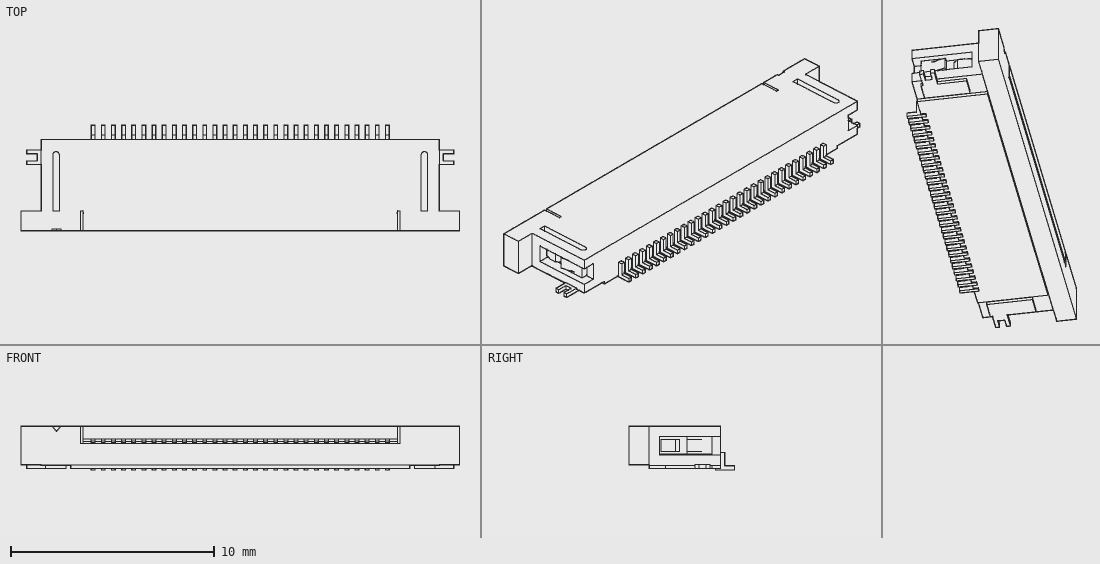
import cadquery as cq


SLIDER_HALF_LENGTH = 10.8
SLIDER_DEPTH = 1.0
SLIDER_BOTTOM = 0.25
TOP = 2.15

HOUSING_HALF_LENGTH = 9.8
HOUSING_BACK = 4.51
HOUSING_BOTTOM = 0.22
BASE_HALF_LENGTH = 8.35
BASE_BOTTOM = 0.06

PAD_OUTER = 9.6
PAD_INNER = 8.58
PAD_FRONT = 1.81
PAD_BACK = 4.1

ENTRY_HALF_LENGTH = 7.86
ENTRY_BOTTOM = 1.32
COVER_CLEARANCE = 0.13
COVER_BOTTOM = 1.53
CABLE_SLOT_TOP = 1.4
RAMP_START = 0.86
RAMP_END = 0.9
CABLE_SLOT_BACK = 2.6

SPRING_TIP = 0.78
SPRING_KNEE = 0.85
SPRING_KNEE_BOTTOM = 1.43
SPRING_CREST = 0.95
SPRING_BACK = 1.73
SPRING_CREST_BOTTOM = 1.35

MARK_X = -9.05
MARK_HALF_WIDTH = 0.22
MARK_HEIGHT = 0.25
MARK_DEPTH = 0.09

SLOT_X = 9.07
SLOT_WIDTH = 0.32
SLOT_BACK = 3.9
SLOT_DEPTH = 0.52

CHANNEL_FRONT = 1.51
CHANNEL_BOTTOM = 0.73
CHANNEL_TOP = 1.65
CHANNEL_DEPTH = 0.28
CHANNEL_BACK_STEP = 4.1
CHANNEL_BACK_DEPTH = 0.65
CHANNEL_FRONT_DEPTH = 0.5
UNDERCUT_TOP = 0.8

LATCH_BOTTOM = 0.9
LATCH_TOP = 1.51
LATCH_HEIGHT = 0.2
WEDGE_FRONT = 2.87
WEDGE_BACK = 3.59
STOP_FRONT = 1.58
STOP_CREST_FRONT = 1.92
STOP_CREST_BACK = 2.3
STOP_BACK = 2.48
STOP_FRONT_HEIGHT = 0.09

CONTACT_COUNT = 30
CONTACT_ROW_LENGTH = 14.5
CONTACT_PITCH = CONTACT_ROW_LENGTH / (CONTACT_COUNT - 1)
CONTACT_WIDTH = 0.2
CONTACT_TIP = 5.2
CONTACT_HEEL = 4.25
CONTACT_STEM_BACK = 4.73
CONTACT_FOOT_TOP = 0.22
CONTACT_STEM_TOP = 0.86

TAB_OUTER = 10.52
TAB_INNER = 9.29
TAB_FRONT = 3.26
TAB_BACK = 4.0
TAB_TOP = 0.28
TAB_NOTCH_BOTTOM = 10.0
TAB_PRONG = 0.2


def box(x_range, y_range, z_range):
    (x0, x1), (y0, y1), (z0, z1) = x_range, y_range, z_range
    return cq.Workplane("XY").box(x1 - x0, y1 - y0, z1 - z0, centered=False).translate((x0, y0, z0))


def centred_box(half_length, y_range, z_range):
    return box((-half_length, half_length), y_range, z_range)


def side_profile(points, x, width):
    """Prism centred at x with its outline given as (Y, Z) points."""
    return cq.Workplane("YZ", origin=(x, 0, 0)).polyline(points).close().extrude(width / 2, both=True)


def both_ends(left_shape):
    return left_shape.union(left_shape.mirror("YZ"))


def body():
    slider = centred_box(SLIDER_HALF_LENGTH, (0, SLIDER_DEPTH), (SLIDER_BOTTOM, TOP))
    housing = centred_box(HOUSING_HALF_LENGTH, (SLIDER_DEPTH, HOUSING_BACK), (HOUSING_BOTTOM, TOP))
    base = centred_box(BASE_HALF_LENGTH, (SLIDER_DEPTH, HOUSING_BACK), (BASE_BOTTOM, TOP))
    pad = box((-PAD_OUTER, -PAD_INNER), (PAD_FRONT, PAD_BACK), (BASE_BOTTOM, CHANNEL_BOTTOM))
    return slider.union(housing).union(base).union(both_ends(pad))


def cable_entry():
    """U-shaped gap around the cover, and the cable slot running back beneath it."""
    cover_half_length = ENTRY_HALF_LENGTH - COVER_CLEARANCE
    opening = centred_box(ENTRY_HALF_LENGTH, (0, SLIDER_DEPTH), (ENTRY_BOTTOM, TOP))
    cover = centred_box(cover_half_length, (0, SLIDER_DEPTH), (ENTRY_BOTTOM, TOP))
    cable_slot = [
        (0, ENTRY_BOTTOM),
        (0, COVER_BOTTOM),
        (RAMP_START, COVER_BOTTOM),
        (RAMP_END, CABLE_SLOT_TOP),
        (CABLE_SLOT_BACK, CABLE_SLOT_TOP),
        (CABLE_SLOT_BACK, ENTRY_BOTTOM),
    ]
    return opening.cut(cover).union(side_profile(cable_slot, 0, 2 * cover_half_length))


def pin_one_mark():
    corners = [
        (MARK_X - MARK_HALF_WIDTH, TOP),
        (MARK_X + MARK_HALF_WIDTH, TOP),
        (MARK_X, TOP - MARK_HEIGHT),
    ]
    return cq.Workplane("XZ").polyline(corners).close().extrude(-MARK_DEPTH)


def top_slot():
    radius = SLOT_WIDTH / 2
    return (
        cq.Workplane("XY", origin=(-SLOT_X, 0, TOP))
        .moveTo(-radius, SLIDER_DEPTH)
        .lineTo(-radius, SLOT_BACK - radius)
        .threePointArc((0, SLOT_BACK), (radius, SLOT_BACK - radius))
        .lineTo(radius, SLIDER_DEPTH)
        .close()
        .extrude(-SLOT_DEPTH)
    )


def guide_channel():
    z_range = (CHANNEL_BOTTOM, CHANNEL_TOP)
    outer = -HOUSING_HALF_LENGTH
    channel = box((outer, outer + CHANNEL_DEPTH), (CHANNEL_FRONT, HOUSING_BACK), z_range)
    back = box((outer, outer + CHANNEL_BACK_DEPTH), (CHANNEL_BACK_STEP, HOUSING_BACK), z_range)
    front = box((outer, outer + CHANNEL_FRONT_DEPTH), (CHANNEL_FRONT, WEDGE_FRONT), z_range)
    undercut = box(
        (outer, outer + CHANNEL_BACK_DEPTH),
        (CHANNEL_FRONT, HOUSING_BACK),
        (CHANNEL_BOTTOM, UNDERCUT_TOP),
    )
    return channel.union(back).union(front).union(undercut)


def latches():
    """Wedge and stop whose profiles rise outward from the channel floors."""
    floor = -HOUSING_HALF_LENGTH + CHANNEL_DEPTH
    wedge_crest = floor - LATCH_HEIGHT
    front_floor = -HOUSING_HALF_LENGTH + CHANNEL_FRONT_DEPTH
    stop_crest = front_floor - LATCH_HEIGHT
    wedge = [(floor, WEDGE_BACK), (wedge_crest, WEDGE_FRONT), (floor, WEDGE_FRONT)]
    stop = [
        (front_floor, STOP_BACK),
        (stop_crest, STOP_CREST_BACK),
        (stop_crest, STOP_CREST_FRONT),
        (front_floor - STOP_FRONT_HEIGHT, STOP_FRONT),
        (front_floor, STOP_FRONT),
    ]
    plane = cq.Workplane("XY", origin=(0, 0, LATCH_BOTTOM))
    profiles = plane.polyline(wedge).close().polyline(stop).close()
    return profiles.extrude(LATCH_TOP - LATCH_BOTTOM)


def contact(x):
    lead = [
        (CONTACT_HEEL, 0),
        (CONTACT_TIP, 0),
        (CONTACT_TIP, CONTACT_FOOT_TOP),
        (CONTACT_STEM_BACK, CONTACT_FOOT_TOP),
        (CONTACT_STEM_BACK, CONTACT_STEM_TOP),
        (CONTACT_HEEL, CONTACT_STEM_TOP),
    ]
    spring = [
        (SPRING_TIP, COVER_BOTTOM),
        (SPRING_KNEE, SPRING_KNEE_BOTTOM),
        (SPRING_CREST, SPRING_CREST_BOTTOM),
        (SPRING_BACK, SPRING_CREST_BOTTOM),
        (SPRING_BACK, COVER_BOTTOM),
    ]
    return side_profile(lead, x, CONTACT_WIDTH).union(side_profile(spring, x, CONTACT_WIDTH))


def solder_tab():
    z_range = (BASE_BOTTOM, TAB_TOP)
    plate = box((-TAB_OUTER, -TAB_INNER), (TAB_FRONT, TAB_BACK), z_range)
    notch_y = (TAB_FRONT + TAB_PRONG, TAB_BACK - TAB_PRONG)
    return plate.cut(box((-TAB_OUTER, -TAB_NOTCH_BOTTOM), notch_y, z_range))


result = body().cut(cable_entry()).cut(pin_one_mark())
result = result.cut(both_ends(top_slot())).cut(both_ends(guide_channel()))
result = result.union(both_ends(latches())).union(both_ends(solder_tab()))
for index in range(CONTACT_COUNT):
    result = result.union(contact(index * CONTACT_PITCH - CONTACT_ROW_LENGTH / 2))